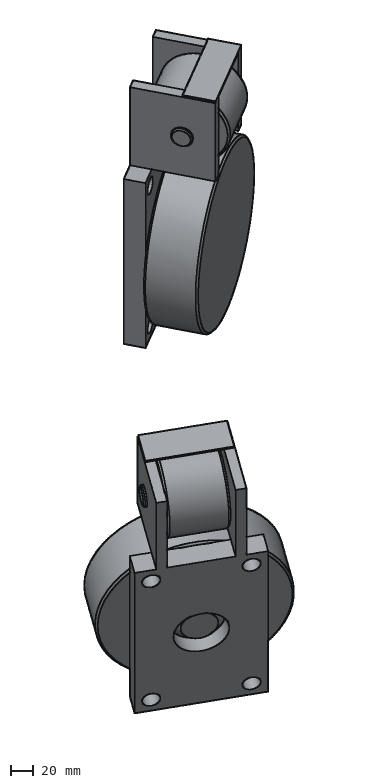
import cadquery as cq

total_height = 282.0
plate_thickness = 20.0
plate_width = 120.0
plate_height = 190.0
bolt_hole_diameter = 16.4
bolt_spacing_y = 90.2
bolt_spacing_z = 160.2

wheel_diameter = 179.0
wheel_width = 50.0
wheel_start_x = 26.5
boss_diameter = 60.0
wheel_axis_z = plate_height / 2
rim_chamfer = 2.0

shaft_diameter = 50.2
shaft_end_chamfer = 8.2
shaft_recess = 8.0

fork_inner_width = 61.5
cheek_thickness = 10.0
fork_depth = 78.5
cap_thickness = 2.0
cap_width = 80.0
roller_diameter = 80.0
roller_width = 57.0
roller_hub_diameter = 40.0
roller_axis_x = 48.0
roller_axis_z = 235.0
pin_diameter = 20.0
pin_length = 87.5
pin_chamfer = 1.5

fork_outer_width = fork_inner_width + 2 * cheek_thickness
cheek_top_z = total_height - cap_thickness


def box_from_corner(x, y, z, length, width, height):
    """Box that is centred on y and starts at x and z."""
    return cq.Workplane("XY").box(length, width, height, centered=(False, True, False)).translate((x, y, z))


def wheel_axis_cylinder(start_x, diameter, length):
    """Cylinder on the large wheel's axis, running toward +X."""
    return cq.Workplane("YZ", origin=(start_x, 0, wheel_axis_z)).circle(diameter / 2).extrude(length)


def roller_axis_cylinder(diameter, length):
    """Cylinder on the roller's axis, centred on the fork."""
    plane = cq.Workplane("XZ", origin=(roller_axis_x, 0, roller_axis_z))
    return plane.circle(diameter / 2).extrude(length / 2, both=True)


def make_plate():
    plate = box_from_corner(0, 0, 0, plate_thickness, plate_width, plate_height)
    bolt_holes = (
        cq.Workplane("YZ", origin=(0, 0, wheel_axis_z))
        .rarray(bolt_spacing_y, bolt_spacing_z, 2, 2)
        .circle(bolt_hole_diameter / 2)
        .extrude(plate_thickness)
    )
    shaft_bore = wheel_axis_cylinder(0, shaft_diameter, plate_thickness)
    return plate.cut(bolt_holes).cut(shaft_bore)


def make_wheel():
    wheel = wheel_axis_cylinder(wheel_start_x, wheel_diameter, wheel_width).edges().chamfer(rim_chamfer)
    boss = wheel_axis_cylinder(plate_thickness, boss_diameter, wheel_start_x - plate_thickness)
    shaft = wheel_axis_cylinder(shaft_recess, shaft_diameter, wheel_start_x - shaft_recess)
    shaft = shaft.faces("<X").chamfer(shaft_end_chamfer)
    return wheel.union(boss).union(shaft)


def make_fork():
    fork = box_from_corner(roller_axis_x, 0, cheek_top_z, fork_depth - roller_axis_x, cap_width, cap_thickness)
    cheek_center_y = (fork_inner_width + cheek_thickness) / 2
    for side in (-1, 1):
        cheek = box_from_corner(
            0, side * cheek_center_y, plate_height, fork_depth, cheek_thickness, cheek_top_z - plate_height
        )
        fork = fork.union(cheek)
    return fork


def make_roller():
    roller = roller_axis_cylinder(roller_diameter, roller_width).edges().chamfer(rim_chamfer)
    hub = roller_axis_cylinder(roller_hub_diameter, fork_inner_width)
    pin = roller_axis_cylinder(pin_diameter, pin_length).edges().chamfer(pin_chamfer)
    return roller.union(hub).union(pin)


result = make_plate().union(make_wheel()).union(make_fork()).union(make_roller())